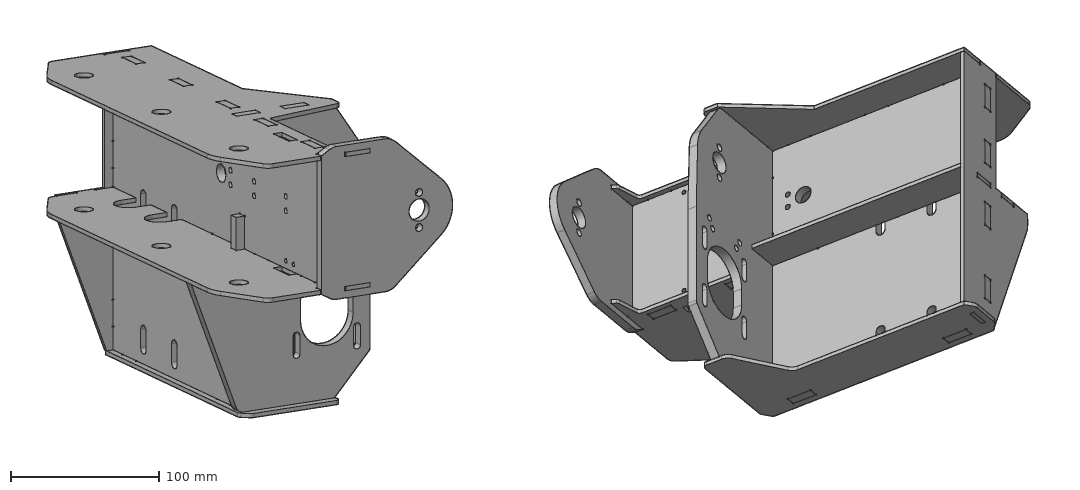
import cadquery as cq
import math

SHEET = 3.0
BACK_STOCK = 6.5
RIB_STOCK = 7.0
EAR_STOCK = 6.3

LENGTH = 300.0
HEIGHT = 216.0
DEPTH = 167.5

LOWER_DECK_Z = 114.0
UPPER_DECK_Z = 208.0
PIVOT_Z = (LOWER_DECK_Z + UPPER_DECK_Z + SHEET) / 2
LOWER_DECK_TOP = LOWER_DECK_Z + SHEET
UPPER_DECK_TOP = UPPER_DECK_Z + SHEET

SIDE_X = 5.0
SIDE_INNER_X = SIDE_X + SHEET
BACK_FRONT_Y = 70.0
BACK_REAR_Y = BACK_FRONT_Y + BACK_STOCK
RIB_X = 178.8
RIB_RIGHT_X = RIB_X + RIB_STOCK
EAR_X = LENGTH - EAR_STOCK
POST_FRONT_Y = 63.3

TAB = 18.5
FRONT_TAB_Y = 64.0
CORNER_TAB_REAR_Y = 82.2
RELIEF_RADIUS = 0.5

DECK_REAR_Y = 101.5
DECK_PEAK_Y = 140.7
DECK_VALLEY_Y = 80.5
DECK_SLANT_LEFT_X = 39.3
DECK_SLANT_RIGHT_X = 262.8
DECK_SLANT_LEFT_Y = 21.3
DECK_SLANT_RIGHT_Y = 22.2
DECK_FRONT_RADIUS = 24.0
DECK_SIDE_RADIUS = 6.5
WING_LEFT_X = 127.8
WING_PEAK_X = 180.0
WING_RIGHT_X = 192.0
WING_RADIUS = 3.3
LOWER_DECK_WING_X = 198.0
VALLEY_LEFT_X = 201.0
VALLEY_RIGHT_X = 285.3
VALLEY_RADIUS = 2.7
EAR_WING_X = 289.8
EAR_WING_Y = 99.0
EAR_WING_RADIUS = 3.0
BOLT_DIAMETER = 12.5
BOLT_Y = 25.2
BOLT_X = (46.2, 151.0, 255.5)
CABLE_SLOT = (235.8, 256.8, POST_FRONT_Y, BACK_FRONT_Y)
BACK_TABS_LEFT_X = (30.0, 94.0, 157.2)
BACK_TABS_BOTTOM_X = (30.0, 157.2)
BACK_TABS_RIGHT_X = (208.2, 271.5)
RIB_REAR_TAB_Y = 110.7
DECK_SIDE_TABS_Y = ((42.3, 56.5), (BACK_FRONT_Y, 85.2))
HALF_LAP_X = 142.0

MOUNT_X = (49.0, 90.5)
MOUNT_Z = (20.0, 115.0)
MOUNT_WIDTH = 7.2
MOUNT_LENGTH = 20.0
BRIDGE_LENGTH = 14.0
NOTCH_WIDTH = 19.8
NOTCH_DEPTH = 21.5

PIVOT_Y = 139.8
PIVOT_DIAMETER = 15.5
PIVOT_SCREW_OFFSET = 12.3
PIVOT_SCREW_DIAMETER = 5.5


def outline(workplane, corners):
    """Closed outline through corners (a, b, radius); a radius above 0 rounds that corner."""
    count = len(corners)
    pieces = []
    for index, (a, b, radius) in enumerate(corners):
        if radius == 0:
            pieces.append(((a, b), None, (a, b)))
            continue
        before = cq.Vector(*corners[index - 1][:2])
        after = cq.Vector(*corners[(index + 1) % count][:2])
        corner = cq.Vector(a, b)
        to_before = (before - corner).normalized()
        to_after = (after - corner).normalized()
        half_angle = to_before.getAngle(to_after) / 2
        setback = radius / math.tan(half_angle)
        arc_gap = radius / math.sin(half_angle) - radius
        ends = [corner + direction * setback for direction in (to_before, to_after)]
        middle = corner + (to_before + to_after).normalized() * arc_gap
        pieces.append((ends[0].toTuple()[:2], middle.toTuple()[:2], ends[1].toTuple()[:2]))
    path = workplane.moveTo(*pieces[0][2])
    for start, middle, end in pieces[1:] + pieces[:1]:
        path = path.lineTo(*start)
        if middle:
            path = path.threePointArc(middle, end)
    return path.close()


def block(x0, x1, y0, y1, z0, z1):
    return cq.Workplane("XY").box(x1 - x0, y1 - y0, z1 - z0, centered=False).translate((x0, y0, z0))


def cut_all(body, *tools):
    for tool in tools:
        body = body.cut(tool)
    return body


def horizontal(z):
    """Sketch plane in X and Y; plates are extruded upward from it."""
    return cq.Workplane("XY", origin=(0, 0, z))


def crosswise(x):
    """Sketch plane in Y and Z; plates are extruded toward +X from it."""
    return cq.Workplane("YZ", origin=(x, 0, 0))


def lengthwise():
    """Sketch plane in X and Z on the back plate's rear face; extrudes toward the front."""
    return cq.Workplane("XZ", origin=(0, BACK_REAR_Y, 0))


def reliefs(workplane, points, depth):
    return workplane.pushPoints(points).circle(RELIEF_RADIUS).extrude(depth)


def relieved_slot(workplane, a0, a1, b0, b1, depth):
    """Rectangular tab slot with cutter reliefs in its four corners."""
    slot = workplane.center((a0 + a1) / 2, (b0 + b1) / 2).rect(a1 - a0, b1 - b0).extrude(depth)
    corners = [(a, b) for a in (a0, a1) for b in (b0, b1)]
    return slot.union(reliefs(workplane, corners, depth))


def deck(z, left_x, back_tabs, rib_side):
    """Horizontal plate with slanted front corners; rib_side are its rear corners at the rib."""
    slant = DECK_SLANT_LEFT_Y / (DECK_SLANT_LEFT_X - SIDE_X)
    left_corner_y = slant * (DECK_SLANT_LEFT_X - left_x)
    body = outline(
        horizontal(z),
        [
            (DECK_SLANT_LEFT_X, 0, DECK_FRONT_RADIUS),
            (DECK_SLANT_RIGHT_X, 0, DECK_FRONT_RADIUS),
            (LENGTH, DECK_SLANT_RIGHT_Y, DECK_SIDE_RADIUS),
            (LENGTH, DECK_REAR_Y, 0),
            (EAR_X, DECK_REAR_Y, 0),
            (EAR_WING_X, EAR_WING_Y, EAR_WING_RADIUS),
            (VALLEY_RIGHT_X, DECK_VALLEY_Y, VALLEY_RADIUS),
            (VALLEY_LEFT_X, DECK_VALLEY_Y, VALLEY_RADIUS),
            *rib_side,
            (left_x, DECK_REAR_Y, 0),
            (left_x, left_corner_y, DECK_SIDE_RADIUS),
        ],
    ).extrude(SHEET)
    holes = horizontal(z).pushPoints([(x, BOLT_Y) for x in BOLT_X]).circle(BOLT_DIAMETER / 2)
    body = body.cut(holes.extrude(SHEET))
    body = body.cut(block(*CABLE_SLOT, z, z + SHEET))
    body = body.cut(
        relieved_slot(horizontal(z), EAR_X, LENGTH, FRONT_TAB_Y, CORNER_TAB_REAR_Y, SHEET)
    )
    for x in back_tabs:
        body = body.cut(
            relieved_slot(horizontal(z), x - TAB / 2, x + TAB / 2, BACK_FRONT_Y, BACK_REAR_Y, SHEET)
        )
    return body


def rib_tab_spans():
    """Y spans of the rib's tabs in the upper deck."""
    return [
        (FRONT_TAB_Y, CORNER_TAB_REAR_Y),
        (RIB_REAR_TAB_Y - TAB / 2, RIB_REAR_TAB_Y + TAB / 2),
    ]


def make_upper_deck():
    z = UPPER_DECK_Z
    wing = [
        (WING_RIGHT_X, DECK_PEAK_Y, WING_RADIUS),
        (WING_PEAK_X, DECK_PEAK_Y, 0),
        (WING_LEFT_X, DECK_REAR_Y, 0),
    ]
    body = deck(z, SIDE_X, BACK_TABS_LEFT_X + BACK_TABS_RIGHT_X, wing)
    for y0, y1 in rib_tab_spans():
        body = body.cut(block(RIB_X, RIB_RIGHT_X, y0, y1, z, z + SHEET))
    side_notch = relieved_slot(
        horizontal(z), SIDE_X, SIDE_INNER_X, POST_FRONT_Y, CORNER_TAB_REAR_Y, SHEET
    )
    return body.cut(side_notch)


def bridge_tab():
    """Tab of the lower deck that passes through the back plate midway between its mounting slots."""
    middle_x = sum(MOUNT_X) / 2
    return block(
        middle_x - BRIDGE_LENGTH / 2, middle_x + BRIDGE_LENGTH / 2,
        BACK_FRONT_Y, BACK_REAR_Y, LOWER_DECK_Z, LOWER_DECK_TOP,
    )


def make_lower_deck():
    z = LOWER_DECK_Z
    body = deck(z, SIDE_INNER_X, BACK_TABS_RIGHT_X, [(LOWER_DECK_WING_X, DECK_REAR_Y, 0)])
    body = cut_all(
        body,
        block(SIDE_INNER_X, HALF_LAP_X, BACK_FRONT_Y, BACK_REAR_Y, z, z + SHEET),
        reliefs(horizontal(z), [(HALF_LAP_X, BACK_FRONT_Y), (HALF_LAP_X, BACK_REAR_Y)], SHEET),
        block(RIB_X, RIB_RIGHT_X, POST_FRONT_Y, DECK_REAR_Y, z, z + SHEET),
    )
    notch_length = 2 * NOTCH_DEPTH
    notches = (
        horizontal(z).pushPoints([(x, BACK_FRONT_Y) for x in MOUNT_X])
        .slot2D(notch_length, NOTCH_WIDTH, 90).extrude(SHEET)
        .intersect(block(0, LENGTH, 0, BACK_FRONT_Y, z, z + SHEET))
    )
    body = body.cut(notches).union(bridge_tab())
    for y0, y1 in DECK_SIDE_TABS_Y:
        body = body.union(block(SIDE_X, SIDE_INNER_X, y0, y1, z, z + SHEET))
    return body


BOTTOM_LENGTH = 192.0
BOTTOM_FRONT_Y = 64.8
BOTTOM_CHAMFER_X = 5.7
BOTTOM_CHAMFER_Y = 72.3
BOTTOM_REAR_CHAMFER_Y = 95.0
BOTTOM_CORNER_RADIUS = 3.0
BOTTOM_WING_PEAK_X = 172.5
BOTTOM_WING_LEFT_X = 145.0
BOTTOM_WING_RADIUS = 7.5
SIDE_BOTTOM_TAB = (76.2, 90.3)


def make_bottom_plate():
    body = outline(
        horizontal(0),
        [
            (BOTTOM_CHAMFER_X, BOTTOM_FRONT_Y, BOTTOM_CORNER_RADIUS),
            (BOTTOM_LENGTH - BOTTOM_CHAMFER_X, BOTTOM_FRONT_Y, BOTTOM_CORNER_RADIUS),
            (BOTTOM_LENGTH, BOTTOM_CHAMFER_Y, BOTTOM_CORNER_RADIUS),
            (BOTTOM_LENGTH, DECK_PEAK_Y, BOTTOM_CORNER_RADIUS),
            (BOTTOM_WING_PEAK_X, DECK_PEAK_Y, BOTTOM_WING_RADIUS),
            (BOTTOM_WING_LEFT_X, DECK_REAR_Y, BOTTOM_WING_RADIUS),
            (SIDE_X, DECK_REAR_Y, 0),
            (0, BOTTOM_REAR_CHAMFER_Y, BOTTOM_WING_RADIUS),
            (0, BOTTOM_CHAMFER_Y, BOTTOM_CORNER_RADIUS),
        ],
    ).extrude(SHEET)
    body = body.cut(block(SIDE_X, SIDE_INNER_X, *SIDE_BOTTOM_TAB, 0, SHEET))
    for x in BACK_TABS_BOTTOM_X:
        body = body.cut(
            relieved_slot(horizontal(0), x - TAB / 2, x + TAB / 2, BACK_FRONT_Y, BACK_REAR_Y, SHEET)
        )
    return body


GUSSET_FRONT_Y = 25.8
GUSSET_SLANT_Z = 104.7
GUSSET_RADIUS = 4.5
BACK_SIDE_TABS_Z = (28.8, 89.0, 139.8, 185.5)


def make_side_plate():
    body = outline(
        crosswise(SIDE_X),
        [
            (BOTTOM_FRONT_Y, SHEET, 0),
            (DECK_REAR_Y, SHEET, 0),
            (DECK_REAR_Y, UPPER_DECK_Z, 0),
            (POST_FRONT_Y, UPPER_DECK_Z, 0),
            (POST_FRONT_Y, LOWER_DECK_TOP, 0),
            (GUSSET_FRONT_Y, LOWER_DECK_TOP, 0),
            (GUSSET_FRONT_Y, GUSSET_SLANT_Z, GUSSET_RADIUS),
        ],
    ).extrude(SHEET)
    body = body.union(
        block(SIDE_X, SIDE_INNER_X, POST_FRONT_Y, CORNER_TAB_REAR_Y, UPPER_DECK_Z, UPPER_DECK_TOP)
    )
    body = body.union(block(SIDE_X, SIDE_INNER_X, *SIDE_BOTTOM_TAB, 0, SHEET))
    base_corners = [(y, SHEET) for y in SIDE_BOTTOM_TAB]
    base_corners.append((CORNER_TAB_REAR_Y, UPPER_DECK_Z))
    body = body.cut(reliefs(crosswise(SIDE_X), base_corners, SHEET))
    for y0, y1 in DECK_SIDE_TABS_Y:
        body = body.cut(
            relieved_slot(crosswise(SIDE_X), y0, y1, LOWER_DECK_Z, LOWER_DECK_TOP, SHEET)
        )
    for z in BACK_SIDE_TABS_Z:
        body = body.cut(
            relieved_slot(
                crosswise(SIDE_X), BACK_FRONT_Y, BACK_REAR_Y, z - TAB / 2, z + TAB / 2, SHEET
            )
        )
    return body


WINDOW_BOTTOM_Z = 140.0
WINDOW_TOP_Z = 186.0
SHAFT_X = 154.0
SHAFT_DIAMETER = 12.5
SCREW_X = (166.5, 198.3, 241.2)
SCREW_PITCH = 10.2
SCREW_DIAMETER = 4.0
CORNER_SCREW_DIAMETER = 3.0
CORNER_SCREW_RISE = 40.2


def make_back_plate():
    body = outline(
        lengthwise(),
        [
            (x, z, 0)
            for x, z in [
                (SIDE_INNER_X, SHEET),
                (RIB_X, SHEET),
                (RIB_X, WINDOW_BOTTOM_Z),
                (RIB_RIGHT_X, WINDOW_BOTTOM_Z),
                (RIB_RIGHT_X, LOWER_DECK_TOP),
                (EAR_X, LOWER_DECK_TOP),
                (EAR_X, UPPER_DECK_Z),
                (RIB_RIGHT_X, UPPER_DECK_Z),
                (RIB_RIGHT_X, WINDOW_TOP_Z),
                (RIB_X, WINDOW_TOP_Z),
                (RIB_X, UPPER_DECK_Z),
                (SIDE_INNER_X, UPPER_DECK_Z),
            ]
        ],
    ).extrude(BACK_STOCK)
    body = body.cut(
        block(HALF_LAP_X, RIB_X, BACK_FRONT_Y, BACK_REAR_Y, LOWER_DECK_Z, LOWER_DECK_TOP)
    ).cut(bridge_tab())
    inside_corners = [(HALF_LAP_X, LOWER_DECK_Z), (HALF_LAP_X, LOWER_DECK_TOP)]
    inside_corners += [(x, z) for x in (RIB_X, RIB_RIGHT_X) for z in (WINDOW_BOTTOM_Z, WINDOW_TOP_Z)]
    body = body.cut(reliefs(lengthwise(), inside_corners, BACK_STOCK))

    tab_rows = [
        (UPPER_DECK_Z, BACK_TABS_LEFT_X + BACK_TABS_RIGHT_X),
        (LOWER_DECK_Z, BACK_TABS_RIGHT_X),
        (0, BACK_TABS_BOTTOM_X),
    ]
    for z, places in tab_rows:
        for x in places:
            tab = block(x - TAB / 2, x + TAB / 2, BACK_FRONT_Y, BACK_REAR_Y, z, z + SHEET)
            body = body.union(tab)
    for z in BACK_SIDE_TABS_Z:
        body = body.union(
            block(SIDE_X, SIDE_INNER_X, BACK_FRONT_Y, BACK_REAR_Y, z - TAB / 2, z + TAB / 2)
        )

    screws = [(x, PIVOT_Z + side * SCREW_PITCH / 2) for x in SCREW_X for side in (-1, 1)]
    corner_screws = [
        (x, PIVOT_Z + side * CORNER_SCREW_RISE)
        for x in (SCREW_X[-1], SCREW_X[-1] + SCREW_PITCH)
        for side in (-1, 1)
    ]
    mounts = [(x, z) for x in MOUNT_X for z in MOUNT_Z]
    return cut_all(
        body,
        lengthwise().center(SHAFT_X, PIVOT_Z).circle(SHAFT_DIAMETER / 2).extrude(BACK_STOCK),
        lengthwise().pushPoints(screws).circle(SCREW_DIAMETER / 2).extrude(BACK_STOCK),
        lengthwise().pushPoints(corner_screws).circle(CORNER_SCREW_DIAMETER / 2).extrude(BACK_STOCK),
        lengthwise().pushPoints(mounts).slot2D(MOUNT_LENGTH, MOUNT_WIDTH, 90).extrude(BACK_STOCK),
    )


def pivot_holes(x, depth):
    """Pivot bore with a screw hole above and below it."""
    screws = [(PIVOT_Y, PIVOT_Z + side * PIVOT_SCREW_OFFSET) for side in (-1, 1)]
    bore = crosswise(x).center(PIVOT_Y, PIVOT_Z).circle(PIVOT_DIAMETER / 2).extrude(depth)
    return bore.union(
        crosswise(x).pushPoints(screws).circle(PIVOT_SCREW_DIAMETER / 2).extrude(depth)
    )


RIB_REAR_Y = 139.8
RIB_LOWER_SLANT_Z = 33.0
RIB_TAPER_Z = 111.0
RIB_SHOULDER_Y = 165.5
RIB_SHOULDER_Z = 170.5
RIB_SHOULDER_RADIUS = 27.0
RIB_TOP_RADIUS = 6.0
RIB_TOE_RADIUS = 6.0
RIB_HEEL_RADIUS = 3.0
MOTOR_Y = 133.8
MOTOR_Z = 67.5
MOTOR_OPENING_WIDTH = 40.8
MOTOR_OPENING_HEIGHT = 54.0
MOTOR_SLOT_PITCH = 47.0
MOTOR_SLOT_WIDTH = 5.0
MOTOR_SLOT_LENGTH = 18.3
MOTOR_SCREW_DIAMETER = 4.5
MOTOR_SCREWS = [(14.0, 36.3), (18.0, 43.0)]


def make_rib():
    body = outline(
        crosswise(RIB_X),
        [
            (BOTTOM_FRONT_Y, SHEET, RIB_TOE_RADIUS),
            (RIB_REAR_Y, SHEET, 0),
            (DEPTH, RIB_LOWER_SLANT_Z, RIB_HEEL_RADIUS),
            (DEPTH, RIB_TAPER_Z, 0),
            (RIB_SHOULDER_Y, RIB_SHOULDER_Z, RIB_SHOULDER_RADIUS),
            (RIB_REAR_Y, UPPER_DECK_Z, RIB_TOP_RADIUS),
            (POST_FRONT_Y, UPPER_DECK_Z, 0),
            (POST_FRONT_Y, WINDOW_TOP_Z, 0),
            (BACK_REAR_Y, WINDOW_TOP_Z, 0),
            (BACK_REAR_Y, WINDOW_BOTTOM_Z, 0),
            (POST_FRONT_Y, WINDOW_BOTTOM_Z, 0),
            (POST_FRONT_Y, LOWER_DECK_Z, 0),
            (GUSSET_FRONT_Y, LOWER_DECK_Z, 0),
            (GUSSET_FRONT_Y, GUSSET_SLANT_Z, GUSSET_RADIUS),
        ],
    ).extrude(RIB_STOCK)
    for y0, y1 in rib_tab_spans():
        body = body.union(block(RIB_X, RIB_RIGHT_X, y0, y1, UPPER_DECK_Z, UPPER_DECK_TOP))

    half_pitch = MOTOR_SLOT_PITCH / 2
    slots = [(MOTOR_Y + i * half_pitch, MOTOR_Z + j * half_pitch) for i in (-1, 1) for j in (-1, 1)]
    screws = [(MOTOR_Y + i * dy, MOTOR_Z + dz) for dy, dz in MOTOR_SCREWS for i in (-1, 1)]
    face = crosswise(RIB_X)
    return cut_all(
        body,
        face.center(MOTOR_Y, MOTOR_Z)
        .slot2D(MOTOR_OPENING_HEIGHT, MOTOR_OPENING_WIDTH, 90).extrude(RIB_STOCK),
        face.pushPoints(slots).slot2D(MOTOR_SLOT_LENGTH, MOTOR_SLOT_WIDTH, 90).extrude(RIB_STOCK),
        face.pushPoints(screws).circle(MOTOR_SCREW_DIAMETER / 2).extrude(RIB_STOCK),
        pivot_holes(RIB_X, RIB_STOCK),
    )


EAR_NOSE_RADIUS = 26.0
EAR_NOSE_SLOPE = math.radians(41)
EAR_FRONT_TOP_Y = 72.5
EAR_FRONT_RADIUS = 11.0
EAR_REAR_RADIUS = 13.0


def make_ear():
    """Upright lug, the same above and below the pivot, with a round nose about the pivot."""
    half_height = HEIGHT - PIVOT_Z
    half_front = UPPER_DECK_TOP - PIVOT_Z
    nose_tip_y = PIVOT_Y + EAR_NOSE_RADIUS / math.sin(EAR_NOSE_SLOPE)
    rear_top_y = nose_tip_y - half_height / math.tan(EAR_NOSE_SLOPE)
    body = outline(
        crosswise(EAR_X),
        [
            (FRONT_TAB_Y, PIVOT_Z - half_front, 0),
            (EAR_FRONT_TOP_Y, PIVOT_Z - half_height, EAR_FRONT_RADIUS),
            (rear_top_y, PIVOT_Z - half_height, EAR_REAR_RADIUS),
            (nose_tip_y, PIVOT_Z, EAR_NOSE_RADIUS),
            (rear_top_y, PIVOT_Z + half_height, EAR_REAR_RADIUS),
            (EAR_FRONT_TOP_Y, PIVOT_Z + half_height, EAR_FRONT_RADIUS),
            (FRONT_TAB_Y, PIVOT_Z + half_front, 0),
        ],
    ).extrude(EAR_STOCK)
    for z in (LOWER_DECK_Z, UPPER_DECK_Z):
        body = body.cut(block(EAR_X, LENGTH, CORNER_TAB_REAR_Y, DECK_REAR_Y, z, z + SHEET))
    return body.cut(pivot_holes(EAR_X, EAR_STOCK))


upper_deck = make_upper_deck()
lower_deck = make_lower_deck()
bottom_plate = make_bottom_plate()
side_plate = make_side_plate()
back_plate = make_back_plate()
rib = make_rib()
ear = make_ear()

bodies = [upper_deck, lower_deck, bottom_plate, side_plate, back_plate, rib, ear]
result = cq.Compound.makeCompound([solid for body in bodies for solid in body.solids().vals()])